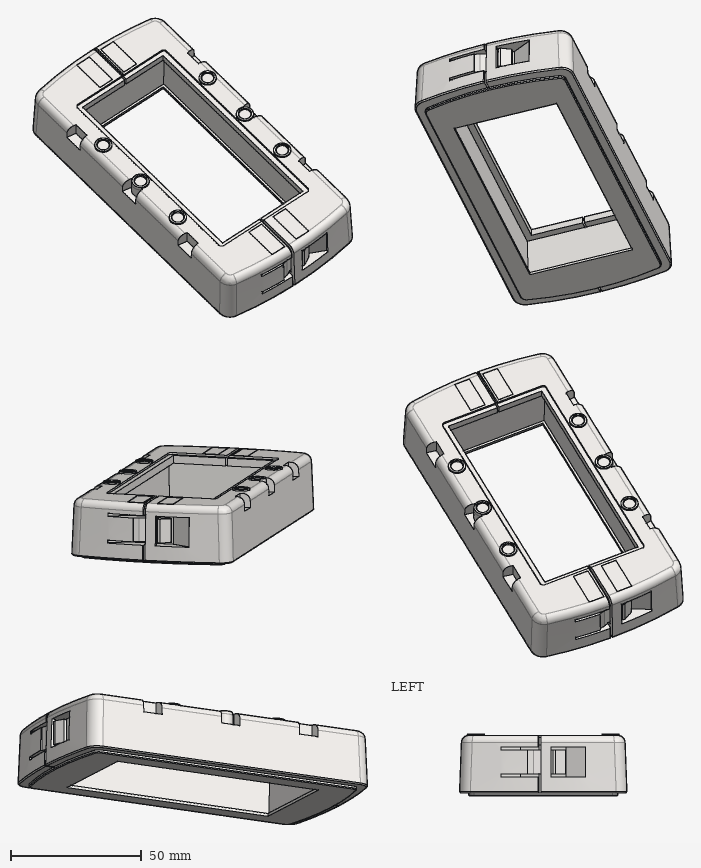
import cadquery as cq
import math

LENGTH = 126.0
WIDTH = 64.0
SHELL_BOTTOM = 1.1
BOTTOM_CHAMFER = 0.5
SHELL_TOP = 23.2
END_BULGE = 3.3
DRAFT = 2.1
CORNER_RADIUS = 5.0
TOP_RADIUS = 2.9

OPENING_LENGTH = 84.6
OPENING_WIDTH = 39.5
RIM_LENGTH = 88.2
RIM_WIDTH = 43.7
RIM_DEPTH = 0.8
RIM_CORNER = 1.3

WALL_TOP = 19.4
WALL_STEP = 2.6
WALL_THICKNESS = 1.3
FOOT_INSET = 3.5
FOOT_CORNER_RADIUS = 2.5
FOOT_CHAMFER = 0.4
FOOT_OPENING_LENGTH = 86.7
FOOT_OPENING_WIDTH = 41.6

GAP_REAR = 1.6
GAP_FRONT = 0.95
GAP_CHAMFER = 0.4

LABEL_OUTER_X = 59.1
LABEL_LENGTH = 14.0
LABEL_WIDTH = 6.2
LABEL_Y = 5.9
LABEL_DEPTH = 0.1

NOTCH_PITCH = 33.6
NOTCH_FLOOR = 17.8
NOTCH_BACK_Y = 27.5
NOTCH_BACK_WIDTH = 6.5
NOTCH_MOUTH_WIDTH = 8.2

BOSS_PITCH = 22.5
BOSS_Y = 25.7
BOSS_RADIUS = 3.46
BOSS_SHOULDER = 22.4
CREST_TOP = 23.7
CREST_RADIUS = 3.3
DISH_MOUTH_RADIUS = 2.5
DISH_FLOOR_RADIUS = 2.3
DISH_FLOOR = 23.3

POCKET_BOTTOM = 7.3
POCKET_TOP = 18.8
POCKET_FLOOR_X = 57.3
POCKET_MOUTH_X = 61.1
POCKET_MOUTH_Y = 16.1
POCKET_FLOOR_Y = 8.7
ARM_BOTTOM = 8.5
ARM_TOP = 17.6
ARM_STEP_Y = 5.9
ARM_RAMP_OUTER_X = 62.0
ARM_RAMP_INNER_X = 61.6
ARM_RAMP_Y = 3.8
TONGUE_OUTER_X = 60.3
TONGUE_START_Y = 0.8
TONGUE_BACK_X = 58.8
STRAP_X = 60.7
STRAP_END_Y = -3.0
HOOK_CATCH_Y = -3.7
HOOK_CREST_Y = -4.7
HOOK_CREST_X = 62.0
HOOK_TIP_Y = -8.5
HOOK_TIP_X = 60.0


def box(x0, x1, y0, y1, z0, z1):
    return cq.Workplane("XY").box(x1 - x0, y1 - y0, z1 - z0, centered=False).translate((x0, y0, z0))


def centred_block(length, width, z0, z1):
    return box(-length / 2, length / 2, -width / 2, width / 2, z0, z1)


def prism(points, z0, z1):
    return cq.Workplane("XY").workplane(offset=z0).polyline(points).close().extrude(z1 - z0)


def plan_outline(inset, z):
    """Rectangle with bowed ends, set in from the overall length and width."""
    end_x = LENGTH / 2 - inset
    corner_x = end_x - END_BULGE
    side_y = WIDTH / 2 - inset
    return (
        cq.Workplane("XY").workplane(offset=z)
        .moveTo(-corner_x, -side_y)
        .lineTo(corner_x, -side_y)
        .threePointArc((end_x, 0), (corner_x, side_y))
        .lineTo(-corner_x, side_y)
        .threePointArc((-end_x, 0), (-corner_x, -side_y))
        .close()
    )


def envelope():
    """Drafted outer block with rounded corners and top edge, and a chamfered bottom edge."""
    spread = BOTTOM_CHAMFER * math.tan(math.radians(DRAFT))
    block = plan_outline(-spread, SHELL_BOTTOM).extrude(SHELL_TOP - SHELL_BOTTOM, taper=DRAFT)
    block = block.edges("%BSPLINE").fillet(CORNER_RADIUS)
    block = block.faces(">Z").edges().fillet(TOP_RADIUS)
    return block.faces("<Z").chamfer(BOTTOM_CHAMFER)


ENVELOPE = envelope()


def wall_block():
    """Outside of the frame's upright wall, which is also the cavity it fills in the half shells."""
    margin = 2 * (WALL_STEP + WALL_THICKNESS)
    return centred_block(OPENING_LENGTH + margin, OPENING_WIDTH + margin, SHELL_BOTTOM, WALL_TOP)


def foot_plate():
    """Plate under the shells, set in from their outline."""
    plate = plan_outline(FOOT_INSET, 0).extrude(SHELL_BOTTOM)
    plate = plate.edges("|Z").fillet(FOOT_CORNER_RADIUS)
    return plate.faces("<Z").chamfer(FOOT_CHAMFER)


def base_frame():
    """Foot plate and upright wall around the opening; the wall leans in towards the bottom."""
    frame = foot_plate().union(wall_block())
    cavity = (
        cq.Workplane("XY").workplane(offset=WALL_TOP)
        .rect(OPENING_LENGTH + 2 * WALL_STEP, OPENING_WIDTH + 2 * WALL_STEP)
        .extrude(SHELL_BOTTOM - WALL_TOP, taper=DRAFT)
    )
    foot_opening = centred_block(FOOT_OPENING_LENGTH, FOOT_OPENING_WIDTH, 0, SHELL_BOTTOM)
    return frame.cut(cavity).cut(foot_opening)


def notch(x):
    mouth_y = WIDTH / 2
    points = [
        (x - NOTCH_BACK_WIDTH / 2, NOTCH_BACK_Y),
        (x + NOTCH_BACK_WIDTH / 2, NOTCH_BACK_Y),
        (x + NOTCH_MOUTH_WIDTH / 2, mouth_y),
        (x - NOTCH_MOUTH_WIDTH / 2, mouth_y),
    ]
    return prism(points, NOTCH_FLOOR, SHELL_TOP)


def boss(x):
    """Round post with a tapered head and a shallow dish in its top."""
    profile = (
        cq.Workplane("XZ")
        .moveTo(0, NOTCH_FLOOR)
        .lineTo(BOSS_RADIUS, NOTCH_FLOOR)
        .lineTo(BOSS_RADIUS, BOSS_SHOULDER)
        .lineTo(CREST_RADIUS, CREST_TOP)
        .lineTo(DISH_MOUTH_RADIUS, CREST_TOP)
        .lineTo(DISH_FLOOR_RADIUS, DISH_FLOOR)
        .lineTo(0, DISH_FLOOR)
        .close()
    )
    return profile.revolve(360, (0, 0, 0), (0, 1, 0)).translate((x, BOSS_Y, 0))


def label_recess(side):
    centre_x = side * (LABEL_OUTER_X - LABEL_LENGTH / 2)
    recess = centred_block(LABEL_LENGTH, LABEL_WIDTH, SHELL_TOP - LABEL_DEPTH, SHELL_TOP)
    return recess.translate((centre_x, LABEL_Y, 0))


def pocket(near_y):
    """Recess in the -X end from near_y to a sloped far wall."""
    points = [
        (-LENGTH / 2, near_y),
        (-POCKET_FLOOR_X, near_y),
        (-POCKET_FLOOR_X, POCKET_FLOOR_Y),
        (-POCKET_MOUTH_X, POCKET_MOUTH_Y),
        (-LENGTH / 2, POCKET_MOUTH_Y),
    ]
    return prism(points, POCKET_BOTTOM, POCKET_TOP)


def latch_arm():
    """Arm filling the middle of the pocket, with a tongue that crosses the gap and ends in a hook."""
    points = [
        (-POCKET_MOUTH_X, POCKET_MOUTH_Y),
        (-LENGTH / 2, POCKET_MOUTH_Y),
        (-LENGTH / 2, ARM_STEP_Y),
        (-ARM_RAMP_OUTER_X, ARM_STEP_Y),
        (-ARM_RAMP_INNER_X, ARM_RAMP_Y),
        (-TONGUE_OUTER_X, TONGUE_START_Y),
        (-TONGUE_OUTER_X, HOOK_CATCH_Y),
        (-HOOK_CREST_X, HOOK_CATCH_Y),
        (-HOOK_CREST_X, HOOK_CREST_Y),
        (-HOOK_TIP_X, HOOK_TIP_Y),
        (-TONGUE_BACK_X, HOOK_TIP_Y),
        (-TONGUE_BACK_X, GAP_REAR),
        (-POCKET_FLOOR_X, GAP_REAR),
        (-POCKET_FLOOR_X, POCKET_FLOOR_Y),
    ]
    return prism(points, ARM_BOTTOM, ARM_TOP).intersect(ENVELOPE)


def catch_window():
    """Pocket at the +X end that takes the hook, bridged next to the gap by a strap."""
    strap = box(STRAP_X, LENGTH / 2, -GAP_FRONT, -STRAP_END_Y, POCKET_BOTTOM, POCKET_TOP)
    recess = pocket(-GAP_FRONT).rotate((0, 0, 0), (0, 0, 1), 180).mirror("XZ")
    return recess.cut(strap)


def shell_blank():
    """Rear part of the envelope, cut off by a gap that is offset the other way at each end."""
    left = box(-LENGTH, 0, GAP_REAR, WIDTH, SHELL_BOTTOM, SHELL_TOP)
    right = box(0, LENGTH, -GAP_FRONT, WIDTH, SHELL_BOTTOM, SHELL_TOP)
    return ENVELOPE.intersect(left.union(right))


def chamfer_gap_edge(shell):
    """Break the top edge of the gap face at the -X end, over the rim rounding as well."""
    margin = 0.1
    low_corner = (-LENGTH / 2, GAP_REAR - margin, SHELL_TOP - TOP_RADIUS)
    high_corner = (-RIM_LENGTH / 2, GAP_REAR + margin, SHELL_TOP + margin)
    return shell.edges(cq.selectors.BoxSelector(low_corner, high_corner)).chamfer(GAP_CHAMFER)


def half_shell():
    """Rear half of the housing; its latch is at the -X end and its catch window at the +X end."""
    opening = centred_block(OPENING_LENGTH, OPENING_WIDTH, SHELL_BOTTOM, SHELL_TOP)
    rim = centred_block(RIM_LENGTH, RIM_WIDTH, SHELL_TOP - RIM_DEPTH, SHELL_TOP)
    rim = rim.edges("|Z").fillet(RIM_CORNER)
    shell = chamfer_gap_edge(shell_blank().cut(opening).cut(rim))
    for side in (-1, 1):
        shell = shell.cut(label_recess(side))
    for position in (-1, 0, 1):
        shell = shell.cut(notch(position * NOTCH_PITCH))
    for position in (-1, 0, 1):
        shell = shell.union(boss(position * BOSS_PITCH))
    shell = shell.cut(wall_block())
    shell = shell.cut(pocket(GAP_REAR)).cut(catch_window())
    return shell.union(latch_arm())


frame = base_frame()
rear_half = half_shell()
half_shells = [rear_half.rotate((0, 0, 0), (0, 0, 1), angle) for angle in (0, 180)]

result = cq.Compound.makeCompound([frame.val(), *[half.val() for half in half_shells]])